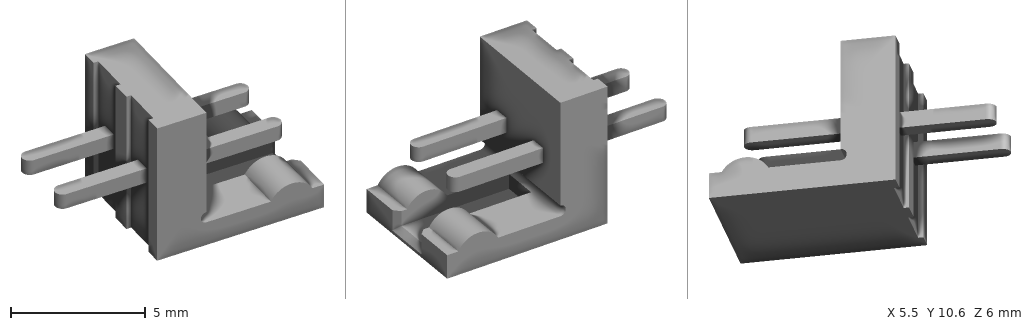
import cadquery as cq

width = 5.5
height = 6.0
depth = 7.09
wall_thickness = 2.09
arm_thickness = 1.03
undercut_radius = 0.23

ridge_height = 0.52
ridge_length = 1.77
ridge_setback = 0.49

slot_width = 1.5
slot_depth = 0.65
mouth_bevel = 0.24

pin_pitch = 2.5
pin_size = 0.65
pin_length = 9.59
pin_overhang = 3.51
pin_height = 3.07
recess_width = 1.69
recess_depth = 0.2

pin_positions = [-pin_pitch / 2, pin_pitch / 2]


def make_body():
    """L-shaped side profile with ridge and corner undercut, extruded across the width."""
    ridge_rear = depth - ridge_setback
    ridge_front = ridge_rear - ridge_length
    ridge_middle = (ridge_front + ridge_rear) / 2
    undercut_center = arm_thickness + undercut_radius
    return (
        cq.Workplane("YZ")
        .moveTo(0, 0)
        .lineTo(depth, 0)
        .lineTo(depth, arm_thickness)
        .lineTo(ridge_rear, arm_thickness)
        .threePointArc((ridge_middle, arm_thickness + ridge_height), (ridge_front, arm_thickness))
        .lineTo(wall_thickness, arm_thickness)
        .threePointArc(
            (wall_thickness - undercut_radius, undercut_center),
            (wall_thickness, undercut_center + undercut_radius),
        )
        .lineTo(wall_thickness, height)
        .lineTo(0, height)
        .close()
        .extrude(width / 2, both=True)
    )


def make_slot():
    """Cutter for the slot, with its side walls and floor bevelled at the rear mouth."""
    floor = arm_thickness - slot_depth
    bevel_start = depth - mouth_bevel
    cut_height = slot_depth + ridge_height
    channel = (
        cq.Workplane("XY", origin=(0, 0, floor))
        .moveTo(0, (wall_thickness + depth) / 2)
        .rect(slot_width, depth - wall_thickness)
        .extrude(cut_height)
    )
    mouth = (
        cq.Workplane("XZ", origin=(0, bevel_start, floor + cut_height / 2))
        .rect(slot_width, cut_height)
        .workplane(offset=-mouth_bevel)
        .rect(slot_width + 2 * mouth_bevel, cut_height + 2 * mouth_bevel)
        .loft(ruled=True)
    )
    return channel.union(mouth)


def make_recess(x):
    """Cutter for a full-height shallow recess in the front face."""
    return cq.Workplane("XY").moveTo(x, recess_depth / 2).rect(recess_width, recess_depth).extrude(height)


def make_pin(x):
    """Square pin along Y with fully rounded ends."""
    return (
        cq.Workplane("XY", origin=(0, 0, pin_height - pin_size / 2))
        .moveTo(x, pin_length / 2 - pin_overhang)
        .slot2D(pin_length, pin_size, 90)
        .extrude(pin_size)
    )


pins = [make_pin(x) for x in pin_positions]

housing = make_body().cut(make_slot())
for x in pin_positions:
    housing = housing.cut(make_recess(x))
for pin in pins:
    housing = housing.cut(pin)

result = cq.Compound.makeCompound([housing.val(), *[pin.val() for pin in pins]])